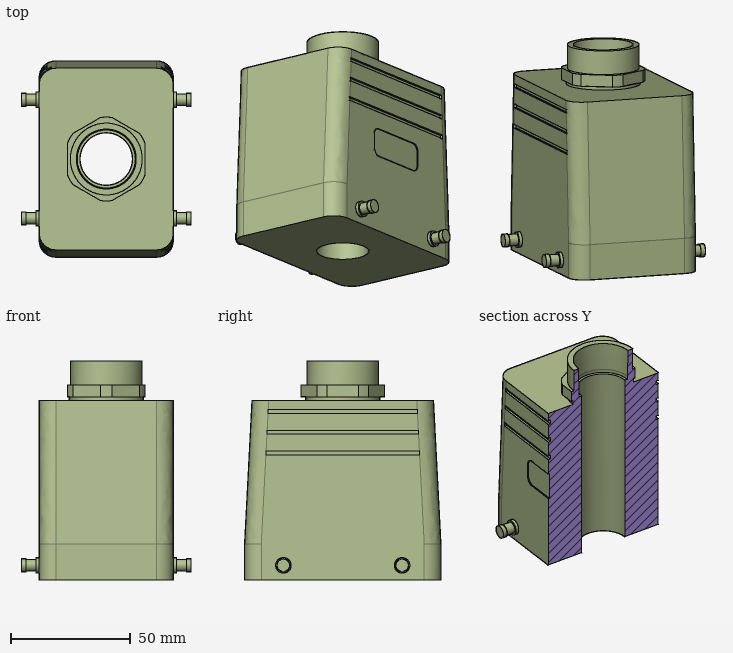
import cadquery as cq

BODY_WIDTH = 56.0
SKIRT_LENGTH = 82.0
ROOF_LENGTH = 75.8
BODY_HEIGHT = 75.0
SKIRT_HEIGHT = 15.0
CORNER_RADIUS = 7.0
SIDE_X = BODY_WIDTH / 2

GROOVE_DEPTH = 1.0
GROOVE_WIDTH = 1.6
GROOVE_PITCH = 8.65
GROOVE_COUNT = 3
TOP_GROOVE_DROP = 4.65

PLATE_LENGTH = 30.0
PLATE_HEIGHT = 12.0
PLATE_RADIUS = 3.0
PLATE_DEPTH = 0.5
PLATE_Z = 39.0

PIN_Y = 24.75
PIN_Z = 6.2
PIN_TIP_X = 35.4
PIN_HEAD_LENGTH = 2.0
PIN_COLLAR_LENGTH = 1.4
PIN_COLLAR_DIAMETER = 6.5
PIN_NECK_DIAMETER = 4.9
PIN_HEAD_DIAMETER = 5.5

GLAND_TOP = 91.5
GLAND_DIAMETER = 30.0
GLAND_BASE_DIAMETER = 31.0
GLAND_BASE_HEIGHT = 1.5
NUT_HEIGHT = 5.0
NUT_ACROSS_FLATS = 32.4
NUT_CORNER_DIAMETER = 35.0

BORE_DIAMETER = 21.8
SOCKET_TOP_DIAMETER = 25.0
SOCKET_BOTTOM_DIAMETER = 24.24
TAPER_DEPTH = 12.5
SOCKET_DEPTH = 14.0


def rounded_rectangle(length_y):
    return cq.Sketch().rect(BODY_WIDTH, length_y).vertices().fillet(CORNER_RADIUS)


def cylinder(diameter, bottom, top):
    return cq.Workplane("XY").workplane(offset=bottom).circle(diameter / 2).extrude(top - bottom)


def make_body():
    skirt = cq.Workplane("XY").placeSketch(rounded_rectangle(SKIRT_LENGTH)).extrude(SKIRT_HEIGHT)
    taper_height = BODY_HEIGHT - SKIRT_HEIGHT
    roof_outline = rounded_rectangle(ROOF_LENGTH).moved(cq.Location(cq.Vector(0, 0, taper_height)))
    upper = (
        cq.Workplane("XY")
        .workplane(offset=SKIRT_HEIGHT)
        .placeSketch(rounded_rectangle(SKIRT_LENGTH), roof_outline)
        .loft(ruled=True)
    )
    return skirt.union(upper)


def flat_half_length(z):
    """Half the Y length of the flat side wall at height z on the leaning part."""
    lean = (SKIRT_LENGTH - ROOF_LENGTH) / 2 / (BODY_HEIGHT - SKIRT_HEIGHT)
    return SKIRT_LENGTH / 2 - CORNER_RADIUS - lean * (z - SKIRT_HEIGHT)


def make_groove(center_z):
    """Groove through the skin of both side walls, ending where the corner rounding starts."""
    low = center_z - GROOVE_WIDTH / 2
    high = center_z + GROOVE_WIDTH / 2
    low_y = flat_half_length(low)
    high_y = flat_half_length(high)
    outline = [(-low_y, low), (low_y, low), (high_y, high), (-high_y, high)]
    bar = cq.Workplane("YZ").polyline(outline).close().extrude(SIDE_X, both=True)
    core_width = BODY_WIDTH - 2 * GROOVE_DEPTH
    core = cq.Workplane("XY").box(core_width, SKIRT_LENGTH, BODY_HEIGHT, centered=(True, True, False))
    return bar.cut(core)


def make_plate_recess():
    return (
        cq.Workplane("YZ", origin=(-SIDE_X, 0, PLATE_Z))
        .rect(PLATE_LENGTH, PLATE_HEIGHT)
        .extrude(PLATE_DEPTH)
        .edges("|X")
        .fillet(PLATE_RADIUS)
    )


def make_pin(side, y):
    """Stepped pin standing out of the side wall; side is -1 or +1 along X."""
    collar_x = SIDE_X + PIN_COLLAR_LENGTH
    head_x = PIN_TIP_X - PIN_HEAD_LENGTH
    profile = [
        (0, 0),
        (0, PIN_COLLAR_DIAMETER / 2),
        (collar_x, PIN_COLLAR_DIAMETER / 2),
        (collar_x, PIN_NECK_DIAMETER / 2),
        (head_x, PIN_NECK_DIAMETER / 2),
        (head_x, PIN_HEAD_DIAMETER / 2),
        (PIN_TIP_X, PIN_HEAD_DIAMETER / 2),
        (PIN_TIP_X, 0),
    ]
    points = [(side * x, radius) for x, radius in profile]
    pin = cq.Workplane("XY").polyline(points).close().revolve(360, (0, 0), (1, 0))
    return pin.translate((0, y, PIN_Z))


def make_gland():
    nut_bottom = BODY_HEIGHT + GLAND_BASE_HEIGHT
    nut_top = nut_bottom + NUT_HEIGHT
    hexagon = (
        cq.Workplane("XY")
        .workplane(offset=nut_bottom)
        .polygon(6, NUT_ACROSS_FLATS, circumscribed=True)
        .extrude(NUT_HEIGHT)
    )
    nut = hexagon.intersect(cylinder(NUT_CORNER_DIAMETER, nut_bottom, nut_top))
    base = cylinder(GLAND_BASE_DIAMETER, BODY_HEIGHT, nut_bottom)
    barrel = cylinder(GLAND_DIAMETER, nut_top, GLAND_TOP)
    return base.union(nut).union(barrel)


def make_cable_passage():
    """Slightly tapered socket at the top, stepping down to a bore right through."""
    socket_bottom = GLAND_TOP - SOCKET_DEPTH
    profile = [
        (0, 0),
        (BORE_DIAMETER / 2, 0),
        (BORE_DIAMETER / 2, socket_bottom),
        (SOCKET_BOTTOM_DIAMETER / 2, socket_bottom),
        (SOCKET_BOTTOM_DIAMETER / 2, GLAND_TOP - TAPER_DEPTH),
        (SOCKET_TOP_DIAMETER / 2, GLAND_TOP),
        (0, GLAND_TOP),
    ]
    return cq.Workplane("XZ").polyline(profile).close().revolve(360, (0, 0), (0, 1))


result = make_body()
for index in range(GROOVE_COUNT):
    groove_z = BODY_HEIGHT - TOP_GROOVE_DROP - index * GROOVE_PITCH
    result = result.cut(make_groove(groove_z))
result = result.cut(make_plate_recess())
for side in (-1, 1):
    for pin_y in (-PIN_Y, PIN_Y):
        result = result.union(make_pin(side, pin_y))
result = result.union(make_gland()).cut(make_cable_passage())